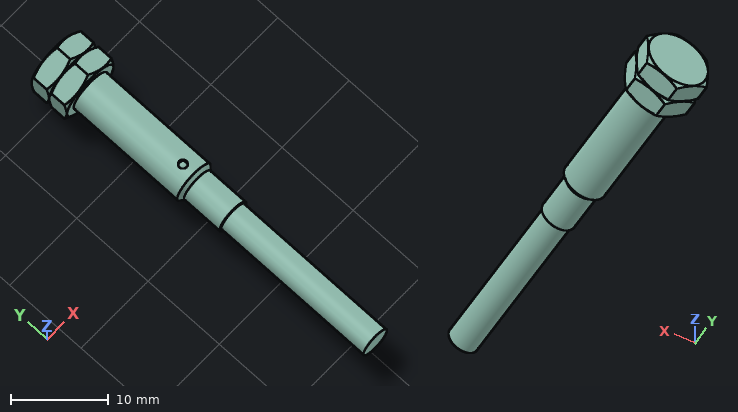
import cadquery as cq
import math

total_length = 45.0
across_flats = 7.0
head_length = 5.0
bevel_face_radius = 3.45
bevel_angle = 30.0

sleeve_radius = 5.0 / 2
sleeve_start = 24.98
collar_radius = 4.0 / 2
collar_start = 20.0
cable_radius = 3.5 / 2

ball_radius = 0.5
ball_y = 27.0

head_start = total_length - head_length
nut_length = head_length / 2
sleeve_chamfer = sleeve_radius - collar_radius
corner_radius = across_flats / math.sqrt(3)


def cylinder(radius, start, end):
    """Round bar on the Y axis from start to end."""
    return cq.Workplane("XZ", origin=(0, start, 0)).circle(radius).extrude(start - end)


def hex_nut(start):
    """Hexagon with corners on +/-Z and both faces bevelled by 30 degree cones."""
    hexagon = (
        cq.Workplane("XZ", origin=(0, start, 0))
        .transformed(rotate=(0, 0, 90))
        .polygon(6, 2 * corner_radius)
        .extrude(-nut_length)
    )
    bevel_depth = (corner_radius - bevel_face_radius) * math.tan(math.radians(bevel_angle))
    end = start + nut_length
    envelope = (
        cq.Workplane("XY")
        .moveTo(0, start)
        .lineTo(bevel_face_radius, start)
        .lineTo(corner_radius, start + bevel_depth)
        .lineTo(corner_radius, end - bevel_depth)
        .lineTo(bevel_face_radius, end)
        .lineTo(0, end)
        .close()
        .revolve(360, (0, 0, 0), (0, 1, 0))
    )
    return hexagon.intersect(envelope)


cable = cylinder(cable_radius, 0, collar_start)
collar = cylinder(collar_radius, collar_start, sleeve_start)
sleeve = cylinder(sleeve_radius, sleeve_start, head_start).faces("<Y").chamfer(sleeve_chamfer)

ball_center_z = sleeve_radius - ball_radius
ball_hole = cq.Workplane("XY", origin=(0, ball_y, ball_center_z)).circle(ball_radius).extrude(2 * ball_radius)
ball = cq.Workplane("XY").sphere(ball_radius).translate((0, ball_y, ball_center_z))
ball_gap = ball_hole.cut(ball)

result = cable.union(collar).union(sleeve).cut(ball_gap)

for nut_index in range(2):
    result = result.union(hex_nut(head_start + nut_index * nut_length))